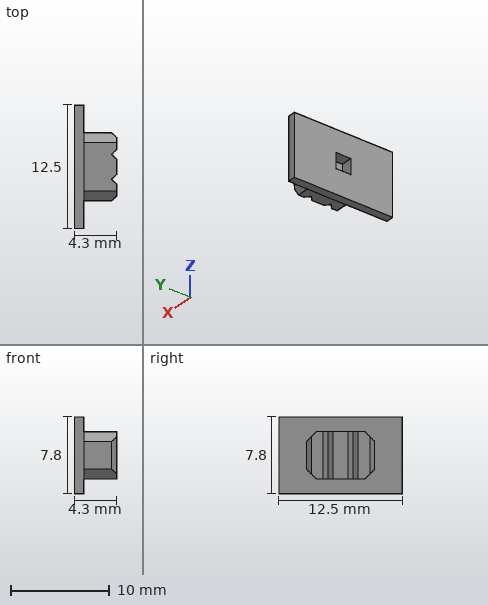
import cadquery as cq

total_depth = 4.3
plate_thickness = 0.97
plate_width = 12.5
plate_height = 7.8

plug_length = total_depth - plate_thickness
plug_width = 6.9
plug_height = 4.8
plug_edge_chamfer = 1.0

bevel_depth = 0.53
bevel_width = 0.5
groove_depth = 0.53
groove_half_width = 0.5
groove_offset = 1.26

pocket_width = 1.85
pocket_height = 1.92
pocket_depth = 1.4
pocket_center_z = 0.15


def make_plate():
    """Plate with its outer face at X = 0, centred on the X axis."""
    return cq.Workplane("XY").box(
        plate_thickness, plate_width, plate_height, centered=(False, True, True)
    )


def make_plug():
    """Block with its four long edges chamfered."""
    return (
        cq.Workplane("XY")
        .box(plug_length, plug_width, plug_height, centered=(False, True, True))
        .edges("|X")
        .chamfer(plug_edge_chamfer)
        .translate((plate_thickness, 0, 0))
    )


def make_end_notch(center_y, half_width, depth):
    """V-shaped cutter across the full plug height, open at the plug end."""
    return (
        cq.Workplane("XY")
        .moveTo(total_depth, center_y - half_width)
        .lineTo(total_depth - depth, center_y)
        .lineTo(total_depth, center_y + half_width)
        .close()
        .extrude(plug_height / 2, both=True)
    )


def make_pocket():
    """Cutter for the blind pocket, starting at the outer plate face."""
    return (
        cq.Workplane("XY")
        .box(pocket_depth, pocket_width, pocket_height, centered=(False, True, True))
        .translate((0, 0, pocket_center_z))
    )


result = make_plate().union(make_plug())
for side in (-1, 1):
    result = result.cut(make_end_notch(side * plug_width / 2, bevel_width, bevel_depth))
    result = result.cut(make_end_notch(side * groove_offset, groove_half_width, groove_depth))
result = result.cut(make_pocket())